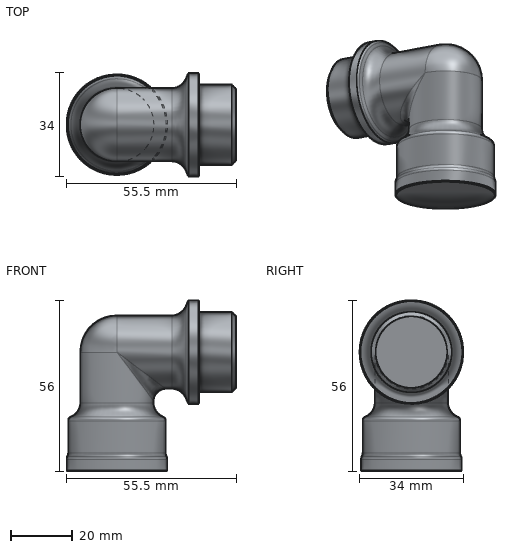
import cadquery as cq
import math

tube_radius = 24.0 / 2
throat_radius = 4.0

flare_radius = 5.0
flare_angle = math.radians(68)
flare_end_radius = tube_radius + flare_radius * (1 - math.cos(flare_angle))
flare_length = flare_radius * math.sin(flare_angle)

flange_flare_start = 18.0
flange_radius = 34.0 / 2
flange_cone_radius = 16.3
flange_front = 23.6
flange_back = 26.95
flange_chamfer = 0.4
spigot_radius = 26.4 / 2
spigot_chamfer = 1.5

socket_flare_start = 16.5
socket_radius = 32.0 / 2
socket_start = 22.5
bead_radius = 33.0 / 2
bead_blend_start = 33.0
bead_start = 35.0
bead_chamfer = 0.4

branch_length = 56 - flange_radius


def flared_tube(start):
    """Outline (radius, distance along the branch) of the tube and its concave flare."""
    flare_end = (flare_end_radius, start + flare_length)
    return (
        cq.Workplane("XY")
        .lineTo(tube_radius, 0)
        .lineTo(tube_radius, start)
        .tangentArcPoint(flare_end, relative=False)
    )


def revolve_branch(outline):
    """Close the outline on the branch axis and spin it about that axis (Y)."""
    return outline.lineTo(0, branch_length).close().revolve(360, (0, 0, 0), (0, 1, 0))


def male_branch():
    """Flare, straight cone in line with it, rimmed flange and spigot, along +X."""
    cone_length = (flange_cone_radius - flare_end_radius) / math.tan(flare_angle)
    flange_cone_end = flange_flare_start + flare_length + cone_length
    outline = (
        flared_tube(flange_flare_start)
        .lineTo(flange_cone_radius, flange_cone_end)
        .tangentArcPoint((flange_radius, flange_front), relative=False)
        .lineTo(flange_radius, flange_back - flange_chamfer)
        .lineTo(flange_radius - flange_chamfer, flange_back)
        .lineTo(spigot_radius, flange_back)
        .lineTo(spigot_radius, branch_length - spigot_chamfer)
        .lineTo(spigot_radius - spigot_chamfer, branch_length)
    )
    return revolve_branch(outline).rotate((0, 0, 0), (0, 0, 1), -90)


def female_branch():
    """Flare, rounded shoulder, socket body and end bead, along -Z."""
    bead_blend_middle = (
        (socket_radius + bead_radius) / 2,
        (bead_blend_start + bead_start) / 2,
    )
    outline = (
        flared_tube(socket_flare_start)
        .tangentArcPoint((socket_radius, socket_start), relative=False)
        .lineTo(socket_radius, bead_blend_start)
        .tangentArcPoint(bead_blend_middle, relative=False)
        .tangentArcPoint((bead_radius, bead_start), relative=False)
        .lineTo(bead_radius, branch_length - bead_chamfer)
        .lineTo(bead_radius - bead_chamfer, branch_length)
    )
    return revolve_branch(outline).rotate((0, 0, 0), (1, 0, 0), -90)


def blended_bend():
    """Spherical bend with two short tubes and a rounded inner crease."""
    upright = cq.Workplane("XY").circle(tube_radius).extrude(-socket_flare_start)
    level = cq.Workplane("YZ").circle(tube_radius).extrude(flange_flare_start)
    tubes = upright.union(level)
    crease = cq.selectors.BoxSelector((0, -tube_radius, -tube_radius), (tube_radius, tube_radius, 0))
    tubes = tubes.edges(crease).fillet(throat_radius)
    return tubes.union(cq.Workplane("XY").sphere(tube_radius))


result = blended_bend().union(male_branch()).union(female_branch())